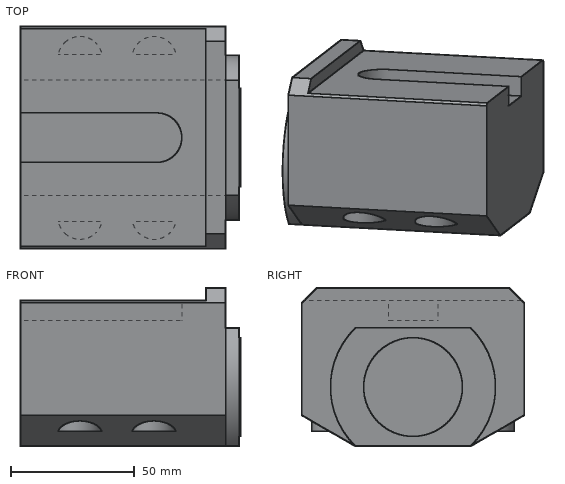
import cadquery as cq
import math

length = 83.0
width = 90.0
height = 64.0
top_chamfer = 6.0
bottom_chamfer_height = 12.5
bottom_chamfer_angle = 30.0

rib_thickness = 8.0
rib_height = 5.0
deck_z = height - rib_height

slot_width = 20.0
slot_length = 65.25
slot_depth = 8.0

pin_diameter = 18.0
pin_bottom_z = 6.0
pin_first_x = 24.0
pin_pitch = 30.0
pin_offset_y = 32.0

flange_diameter = 66.8
flange_thickness = 5.5
flange_half_height = 23.9
raised_face_diameter = 40.0
raised_face_thickness = 0.5


def make_block():
    half_width = width / 2
    top_half = half_width - top_chamfer
    slope_run = bottom_chamfer_height / math.tan(math.radians(bottom_chamfer_angle))
    bottom_half = half_width - slope_run
    return (
        cq.Workplane("YZ")
        .moveTo(-bottom_half, 0)
        .lineTo(bottom_half, 0)
        .lineTo(half_width, bottom_chamfer_height)
        .lineTo(half_width, height - top_chamfer)
        .lineTo(top_half, height)
        .lineTo(-top_half, height)
        .lineTo(-half_width, height - top_chamfer)
        .lineTo(-half_width, bottom_chamfer_height)
        .close()
        .extrude(length)
    )


def make_deck_cut():
    """Material removed beside the rib."""
    return cq.Workplane("XY").box(
        length - rib_thickness, width, rib_height, centered=(False, True, False)
    ).translate((0, 0, deck_z))


def make_slot():
    radius = slot_width / 2
    straight = slot_length - radius
    return (
        cq.Workplane("XY", origin=(0, 0, deck_z))
        .moveTo(0, -radius)
        .lineTo(straight, -radius)
        .threePointArc((slot_length, 0), (straight, radius))
        .lineTo(0, radius)
        .close()
        .extrude(-slot_depth)
    )


def make_pins():
    centers = [
        (pin_first_x + column * pin_pitch, side * pin_offset_y)
        for column in range(2)
        for side in (-1, 1)
    ]
    return (
        cq.Workplane("XY", origin=(0, 0, pin_bottom_z))
        .pushPoints(centers)
        .circle(pin_diameter / 2)
        .extrude(bottom_chamfer_height - pin_bottom_z)
    )


def make_flange():
    base = cq.Workplane("YZ", origin=(length, 0, flange_half_height))
    disc = base.circle(flange_diameter / 2).extrude(flange_thickness)
    flats = base.rect(flange_diameter, 2 * flange_half_height).extrude(flange_thickness)
    raised_face = (
        base.workplane(offset=flange_thickness)
        .circle(raised_face_diameter / 2)
        .extrude(raised_face_thickness)
    )
    return disc.intersect(flats).union(raised_face)


body = make_block().cut(make_deck_cut()).cut(make_slot())
result = body.union(make_pins()).union(make_flange())